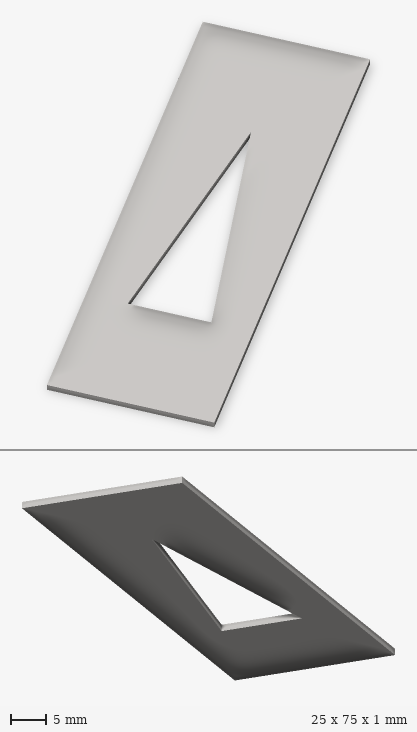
import cadquery as cq

plate_length = 75.0
plate_width = plate_length / 3
plate_thickness = 1.0

window_length = plate_length / 2
window_width = plate_width / 2
apex_offset = 0.5

plate = cq.Workplane("XY").box(plate_width, plate_length, plate_thickness)

window = (
    cq.Workplane("XY")
    .polyline([
        (-window_width / 2, -window_length / 2),
        (window_width / 2, -window_length / 2),
        (apex_offset, window_length / 2),
    ])
    .close()
    .extrude(plate_thickness, both=True)
)

result = plate.cut(window)